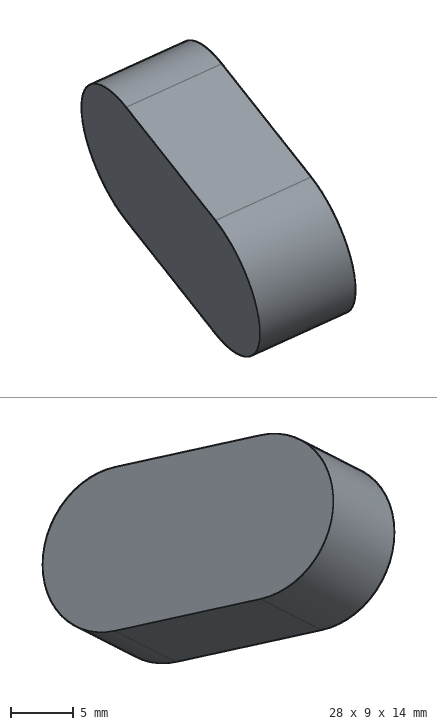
import cadquery as cq

length = 28.0
height = 14.0
thickness = 9.0

result = (
    cq.Workplane("XZ")
    .slot2D(length, height)
    .extrude(thickness / 2, both=True)
)